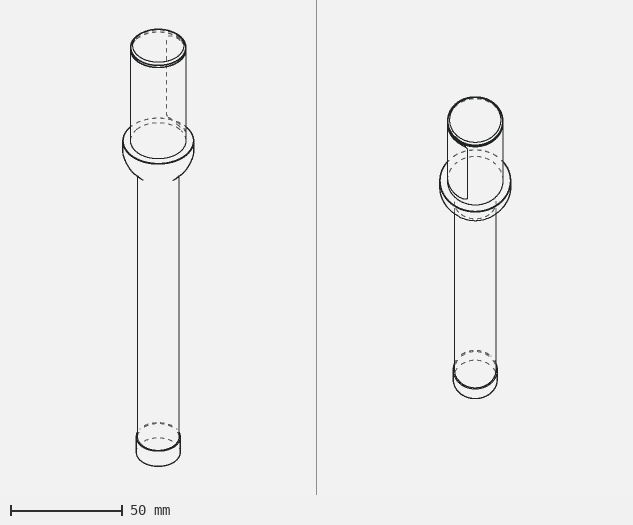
import cadquery as cq
import math

TOTAL_HEIGHT = 242.0

HEAD_DIAMETER = 19.8
POINT_HEIGHT = 3.1
HEAD_TOP_Z = 12.0

BODY_DIAMETER = 18.6

COLLAR_DIAMETER = 32.0
COLLAR_TOP_Z = 186.0
COLLAR_RIM_HEIGHT = 6.3
COLLAR_CHAMFER = 0.2
TAPER_END_ANGLE = math.radians(45)
TAPER_HEIGHT = 9.5
BODY_BLEND_RADIUS = 6.0

SHANK_DIAMETER = 25.0
SHANK_CHAMFER = 1.0

GROOVE_TOP_Z = 240.8
GROOVE_BOTTOM_Z = 239.5
GROOVE_DEPTH = 0.2

FLAT_DEPTH = 2.2
FLAT_TOP_Z = 238.5
FLAT_BOTTOM_Z = 189.2
FLAT_END_RADIUS = 2.2


def blend_point(blend_bottom_z, angle):
    """Radius and Z on the concave blend, after turning by an angle up from its lower end."""
    radius = BODY_DIAMETER / 2 + BODY_BLEND_RADIUS * (1 - math.cos(angle))
    return radius, blend_bottom_z + BODY_BLEND_RADIUS * math.sin(angle)


def make_holder():
    """Body, collar and shank, turned about Z and then cut with the clamping flat."""
    body_radius = BODY_DIAMETER / 2
    collar_radius = COLLAR_DIAMETER / 2
    shank_radius = SHANK_DIAMETER / 2
    rim_bottom_z = COLLAR_TOP_Z - COLLAR_RIM_HEIGHT

    blend_height = BODY_BLEND_RADIUS * math.sin(TAPER_END_ANGLE)
    blend_bottom_z = rim_bottom_z - TAPER_HEIGHT - blend_height

    turned = (
        cq.Workplane("XZ")
        .moveTo(0, HEAD_TOP_Z)
        .lineTo(body_radius, HEAD_TOP_Z)
        .lineTo(body_radius, blend_bottom_z)
        .threePointArc(
            blend_point(blend_bottom_z, TAPER_END_ANGLE / 2),
            blend_point(blend_bottom_z, TAPER_END_ANGLE),
        )
        .tangentArcPoint((collar_radius, rim_bottom_z), relative=False)
        .lineTo(collar_radius, COLLAR_TOP_Z - COLLAR_CHAMFER)
        .lineTo(collar_radius - COLLAR_CHAMFER, COLLAR_TOP_Z)
        .lineTo(shank_radius, COLLAR_TOP_Z)
        .lineTo(shank_radius, GROOVE_BOTTOM_Z)
        .lineTo(shank_radius - GROOVE_DEPTH, GROOVE_BOTTOM_Z)
        .lineTo(shank_radius - GROOVE_DEPTH, GROOVE_TOP_Z)
        .lineTo(shank_radius, GROOVE_TOP_Z)
        .lineTo(shank_radius, TOTAL_HEIGHT - SHANK_CHAMFER)
        .lineTo(shank_radius - SHANK_CHAMFER, TOTAL_HEIGHT)
        .lineTo(0, TOTAL_HEIGHT)
        .close()
        .revolve(360, (0, 0, 0), (0, 1, 0))
    )
    return turned.cut(make_flat_cutter())


def make_flat_cutter():
    """Block that removes the clamping flat; its inner edges are rounded."""
    floor_y = SHANK_DIAMETER / 2 - FLAT_DEPTH
    cutter_depth = FLAT_DEPTH + FLAT_END_RADIUS
    return (
        cq.Workplane("XY")
        .box(SHANK_DIAMETER, cutter_depth, FLAT_TOP_Z - FLAT_BOTTOM_Z, centered=(True, False, False))
        .edges("<Y and |X")
        .fillet(FLAT_END_RADIUS)
        .translate((0, floor_y, FLAT_BOTTOM_Z))
    )


def make_head():
    """Cylindrical drilling head with a conical point, seated against the end of the body."""
    head_radius = HEAD_DIAMETER / 2
    return (
        cq.Workplane("XZ")
        .moveTo(0, 0)
        .lineTo(head_radius, POINT_HEIGHT)
        .lineTo(head_radius, HEAD_TOP_Z)
        .lineTo(0, HEAD_TOP_Z)
        .close()
        .revolve(360, (0, 0, 0), (0, 1, 0))
    )


holder = make_holder()
head = make_head()

result = cq.Compound.makeCompound([holder.val(), head.val()])